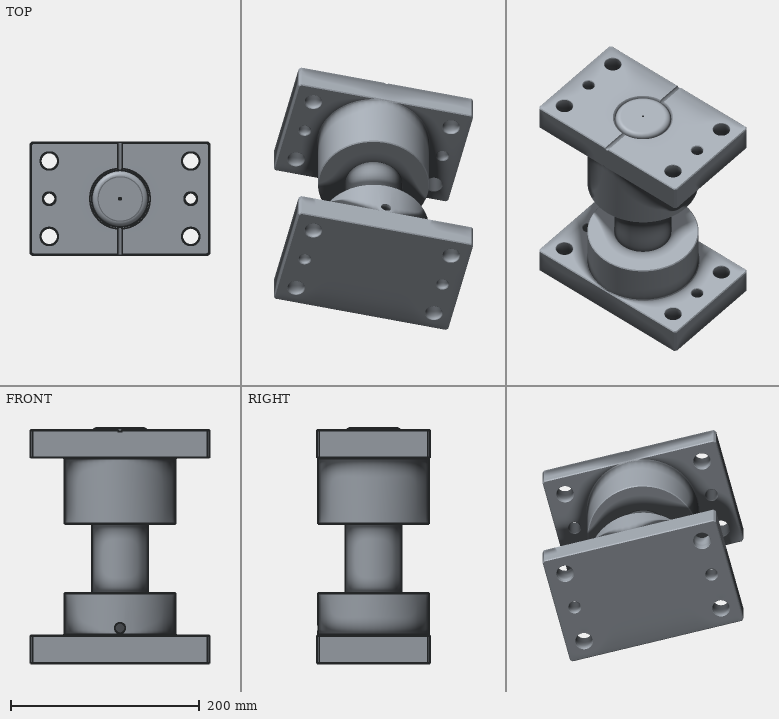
import cadquery as cq
import math

plate_length = 190.0
plate_width = 120.0
plate_thickness = 30.0
plate_corner_chamfer = 2.2
plate_edge_chamfer = 1.0

boss_diameter = 118.0
boss_edge_chamfer = 1.0
boss_root_fillet = 1.0
lower_boss_height = 45.0
upper_boss_height = 70.0

pillar_diameter = 60.0
pillar_length = 250.0
pillar_top_fillet = 6.5
pillar_protrusion = 2.0
center_hole_diameter = 2.5
center_hole_depth = 5.0

bolt_hole_diameter = 18.0
bolt_hole_chamfer = 0.5
dowel_hole_diameter = 12.5
dowel_hole_chamfer = 0.8
hole_spacing_x = 150.0
hole_spacing_y = 80.0

bore_chamfer = 1.0
bore_top_chamfer = 2.0
vent_groove_radius = 2.2
side_hole_diameter = 11.0
side_hole_height = 7.8

upper_plate_top = pillar_length - pillar_protrusion
upper_plate_bottom = upper_plate_top - plate_thickness
upper_boss_bottom = upper_plate_bottom - upper_boss_height
lower_boss_top = plate_thickness + lower_boss_height


def chamfered_plate(bottom):
    """Rectangular plate with all its outer edges chamfered."""
    plate = cq.Workplane("XY", origin=(0, 0, bottom)).box(
        plate_length, plate_width, plate_thickness, centered=(True, True, False)
    )
    plate = plate.edges("|Z").chamfer(plate_corner_chamfer)
    return plate.faces("<Z or >Z").edges().chamfer(plate_edge_chamfer)


def round_boss(root, direction, height):
    """Boss of revolution rising from a plate face, with a root fillet and a chamfered rim."""
    radius = boss_diameter / 2
    fillet_shift = boss_root_fillet * (1 - math.sqrt(0.5))
    profile = (
        cq.Workplane("XZ", origin=(0, 0, root))
        .lineTo(radius + boss_root_fillet, 0)
        .threePointArc(
            (radius + fillet_shift, direction * fillet_shift),
            (radius, direction * boss_root_fillet),
        )
        .lineTo(radius, direction * (height - boss_edge_chamfer))
        .lineTo(radius - boss_edge_chamfer, direction * height)
        .lineTo(0, direction * height)
        .close()
    )
    boss = profile.revolve(360, (0, 0, 0), (0, 1, 0))
    flat_width = plate_width - 2 * plate_edge_chamfer
    return boss.intersect(cq.Workplane("XY").box(plate_length, flat_width, 2 * pillar_length))


def chamfered_hole(x, y, bottom, length, diameter, bottom_chamfer, top_chamfer):
    """Cutter for a vertical through hole with a chamfer at each mouth."""
    radius = diameter / 2
    hole = cq.Workplane("XY", origin=(x, y, bottom)).circle(radius).extrude(length)
    mouths = [(bottom, bottom_chamfer, 1), (bottom + length, top_chamfer, -1)]
    for height, chamfer, inward in mouths:
        if chamfer > 0:
            cone = cq.Solid.makeCone(
                radius + chamfer, radius, chamfer, cq.Vector(x, y, height), cq.Vector(0, 0, inward)
            )
            hole = hole.union(cq.Workplane(cone))
    return hole


def cut_mounting_holes(body, bottom):
    """Four bolt holes at the corners and a dowel hole between each pair."""
    for x in (-hole_spacing_x / 2, hole_spacing_x / 2):
        for y in (-hole_spacing_y / 2, 0, hole_spacing_y / 2):
            diameter, chamfer = (
                (dowel_hole_diameter, dowel_hole_chamfer)
                if y == 0
                else (bolt_hole_diameter, bolt_hole_chamfer)
            )
            body = body.cut(chamfered_hole(x, y, bottom, plate_thickness, diameter, chamfer, chamfer))
    return body


def make_lower_holder():
    """Base plate with its boss, bored for the pillar and cross-drilled at the front."""
    body = chamfered_plate(0).union(round_boss(plate_thickness, 1, lower_boss_height))
    body = cut_mounting_holes(body, 0)
    body = body.cut(
        chamfered_hole(0, 0, 0, lower_boss_top, pillar_diameter, 0, bore_chamfer)
    )
    side_hole = (
        cq.Workplane("XZ", origin=(0, 0, plate_thickness + side_hole_height))
        .circle(side_hole_diameter / 2)
        .extrude(plate_width / 2)
    )
    return body.cut(side_hole)


def make_upper_holder():
    """Top plate with a hanging boss, bored for the pillar and grooved across the top."""
    body = chamfered_plate(upper_plate_bottom)
    body = body.union(round_boss(upper_plate_bottom, -1, upper_boss_height))
    body = cut_mounting_holes(body, upper_plate_bottom)
    bore_length = upper_plate_top - upper_boss_bottom
    body = body.cut(
        chamfered_hole(
            0, 0, upper_boss_bottom, bore_length, pillar_diameter, bore_chamfer, bore_top_chamfer
        )
    )
    vent_groove = (
        cq.Workplane("XZ", origin=(0, plate_width / 2, upper_plate_top))
        .moveTo(-vent_groove_radius, 0)
        .threePointArc((0, -vent_groove_radius), (vent_groove_radius, 0))
        .close()
        .extrude(plate_width)
    )
    return body.cut(vent_groove)


def make_pillar():
    """Straight guide pillar with a rounded top edge and a small center hole."""
    pillar = cq.Workplane("XY").circle(pillar_diameter / 2).extrude(pillar_length)
    pillar = pillar.faces(">Z").edges().fillet(pillar_top_fillet)
    return pillar.faces(">Z").workplane().hole(center_hole_diameter, center_hole_depth)


lower_holder = make_lower_holder()
upper_holder = make_upper_holder()
pillar = make_pillar()

result = cq.Compound.makeCompound([lower_holder.val(), upper_holder.val(), pillar.val()])